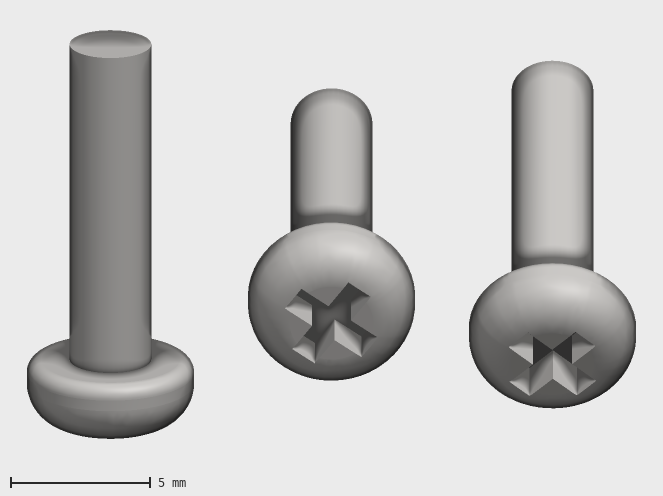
import cadquery as cq

shank_diameter = 2.93
shank_length = 12.0

head_diameter = 6.0
head_height = 2.4
seat_edge_radius = 0.5
crown_radius = 1.5

recess_span = 3.4
recess_slot_width = 1.0
recess_depth = 1.5


def make_head():
    """Disc with its top face at Z = 0, rounded at the seat and at the crown."""
    disc = cq.Workplane("XY").circle(head_diameter / 2).extrude(-head_height)
    disc = disc.faces(">Z").edges().fillet(seat_edge_radius)
    return disc.faces("<Z").edges().fillet(crown_radius)


def make_shank():
    """Plain cylinder standing on the head."""
    return cq.Workplane("XY").circle(shank_diameter / 2).extrude(shank_length)


def make_cross_recess():
    """Two crossed slots, one along X and one along Y, cut up from the crown."""
    crown = cq.Workplane("XY", origin=(0, 0, -head_height))
    slot_along_x = crown.rect(recess_span, recess_slot_width).extrude(recess_depth)
    slot_along_y = crown.rect(recess_slot_width, recess_span).extrude(recess_depth)
    return slot_along_x.union(slot_along_y)


result = make_head().union(make_shank()).cut(make_cross_recess())